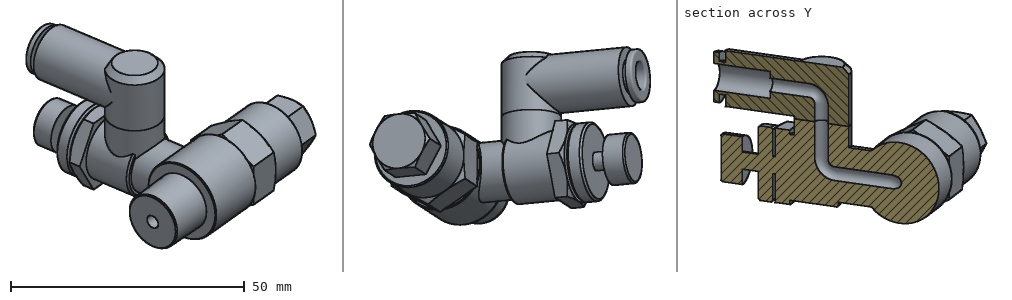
import cadquery as cq
import math


hex_flats = 16.95
cap_hex_flats = 12.0
hex_bevel_angle = 30.0

thread_end_y = -17.25
ring_half_length = 7.05
collar_end_y = 14.9
sleeve_end_y = 24.45
cap_end_y = 31.45
thread_base_radius = 6.7
thread_tip_radius = 6.5
thread_chamfer = 0.25
ring_radius = 9.2
ring_chamfer = 0.2
sleeve_radius = hex_flats / 2
sleeve_chamfer = 0.3

knob_start_x = -41.65
knob_end_x = -36.65
disc_start_x = -33.0
disc_end_x = -29.5
nut_start_x = -29.05
nut_end_x = -25.55
barrel_end_x = -14.2
knob_radius = 5.5
knob_chamfer = 0.35
needle_radius = 2.0
disc_radius = 8.55
disc_chamfer = 0.5
barrel_radius = 7.55
barrel_chamfer = 0.4
link_radius = 6.4

post_x = -18.2
post_radius = link_radius
seam_z = 11.2
post_top_z = 24.45
post_chamfer = 1.5
tube_radius = 6.35
tube_z = post_top_z - tube_radius
tube_start_x = -40.65

release_start_x = -43.45
release_end_x = -41.95
release_radius = 5.75
release_neck_radius = 3.8
release_fillet = 0.5

tube_bore_radius = 3.0
tube_bore_depth = 13.15
bore_mouth_fillet = 0.5
passage_radius = 1.5
passage_bend = 2 * passage_radius


def cylinder_x(start, end, radius, z=0):
    """Cylinder along X on the y = 0 plane."""
    return cq.Workplane("YZ", origin=(start, 0, z)).circle(radius).extrude(end - start)


def cylinder_y(start, end, radius):
    """Cylinder along the stem axis."""
    return cq.Workplane("XZ", origin=(0, end, 0)).circle(radius).extrude(end - start)


def bevelled_hex(flats, length):
    """Hexagon along Z with two corners on the X axis and its top corners bevelled by a cone."""
    corner_radius = flats / math.sqrt(3)
    bevel_drop = (corner_radius - flats / 2) * math.tan(math.radians(hex_bevel_angle))
    prism = cq.Workplane("XY").polygon(6, 2 * corner_radius).extrude(length)
    envelope = (
        cq.Workplane("XZ")
        .lineTo(corner_radius, 0)
        .lineTo(corner_radius, length - bevel_drop)
        .lineTo(flats / 2, length)
        .lineTo(0, length)
        .close()
        .revolve()
    )
    return prism.intersect(envelope)


def make_hex_y(flats, start, end, turn):
    """Hexagon on the stem axis, bevelled at its +Y end and turned about the axis."""
    hexagon = bevelled_hex(flats, end - start).rotate((0, 0, 0), (0, 0, 1), turn)
    return hexagon.rotate((0, 0, 0), (1, 0, 0), -90).translate((0, start, 0))


def make_stem():
    """Tapered thread, ring, hexagonal collar, sleeve and hexagonal cap in a row along Y."""
    thread = (
        cq.Workplane("XY")
        .moveTo(0, -ring_half_length)
        .lineTo(thread_base_radius, -ring_half_length)
        .lineTo(thread_tip_radius, thread_end_y + thread_chamfer)
        .lineTo(thread_tip_radius - thread_chamfer, thread_end_y)
        .lineTo(0, thread_end_y)
        .close()
        .revolve(360, (0, 0, 0), (0, 1, 0))
    )
    ring = cylinder_y(-ring_half_length, ring_half_length, ring_radius).edges().chamfer(ring_chamfer)
    collar = make_hex_y(hex_flats, ring_half_length, collar_end_y, 90)
    sleeve = cylinder_y(collar_end_y, sleeve_end_y, sleeve_radius).faces(">Y").chamfer(sleeve_chamfer)
    cap = make_hex_y(cap_hex_flats, sleeve_end_y, cap_end_y, 0)
    return thread.union(ring).union(collar).union(sleeve).union(cap)


def make_needle_valve():
    """Knob, needle, disc, lock nut, barrel and link in a row along X."""
    knob = cylinder_x(knob_start_x, knob_end_x, knob_radius).faces("<X").chamfer(knob_chamfer)
    needle = cylinder_x(knob_end_x, nut_start_x, needle_radius)
    disc = cylinder_x(disc_start_x, disc_end_x, disc_radius).edges().chamfer(disc_chamfer)
    nut = (
        bevelled_hex(hex_flats, nut_end_x - nut_start_x)
        .rotate((0, 0, 0), (0, 0, 1), 90)
        .rotate((0, 0, 0), (0, 1, 0), -90)
        .translate((nut_end_x, 0, 0))
    )
    barrel = cylinder_x(nut_end_x, barrel_end_x, barrel_radius).faces(">X").chamfer(barrel_chamfer)
    link = cylinder_x(barrel_end_x, 0, link_radius)
    return knob.union(needle).union(disc).union(nut).union(barrel).union(link)


def line(start, end):
    return cq.Edge.makeLine(cq.Vector(*start), cq.Vector(*end))


def arc(start, middle, end):
    return cq.Edge.makeThreePointArc(cq.Vector(*start), cq.Vector(*middle), cq.Vector(*end))


def make_passage():
    """Round air passage from the thread end, along the link, up the post and out into the tube bore."""
    bend = passage_bend
    inset = bend * (1 - math.sqrt(0.5))
    bore_end_x = release_start_x + tube_bore_depth

    stem_end = (0, -bend, 0)
    link_start = (-bend, 0, 0)
    link_end = (post_x + bend, 0, 0)
    post_start = (post_x, 0, bend)
    post_end = (post_x, 0, tube_z - bend)
    tube_start = (post_x - bend, 0, tube_z)
    path = cq.Wire.assembleEdges(
        [
            line((0, thread_end_y, 0), stem_end),
            arc(stem_end, (-inset, -inset, 0), link_start),
            line(link_start, link_end),
            arc(link_end, (post_x + inset, 0, inset), post_start),
            line(post_start, post_end),
            arc(post_end, (post_x - inset, 0, tube_z - inset), tube_start),
            line(tube_start, (bore_end_x, 0, tube_z)),
        ]
    )
    profile = cq.Workplane("XZ", origin=(0, thread_end_y, 0)).circle(passage_radius)
    return profile.sweep(cq.Workplane(path))


def make_valve_body(passage):
    """Stem, needle valve and the lower stub of the post as one body."""
    post_stub = cq.Workplane("XY", origin=(post_x, 0, 0)).circle(post_radius).extrude(seam_z)
    return make_stem().union(make_needle_valve()).union(post_stub).cut(passage)


def make_elbow(passage):
    """Upper post with the tube barrel and its release collar."""
    post = (
        cq.Workplane("XY", origin=(post_x, 0, seam_z))
        .circle(post_radius)
        .extrude(post_top_z - seam_z)
        .faces(">Z")
        .chamfer(post_chamfer)
    )
    tube = cylinder_x(tube_start_x, post_x, tube_radius, tube_z)
    release_neck = cylinder_x(release_end_x, tube_start_x, release_neck_radius, tube_z)
    release_collar = cylinder_x(release_start_x, release_end_x, release_radius, tube_z)
    release_collar = release_collar.faces("<X").edges().fillet(release_fillet)
    bore = cylinder_x(release_start_x, release_start_x + tube_bore_depth, tube_bore_radius, tube_z)
    elbow = post.union(tube).union(release_neck).union(release_collar).cut(bore)
    mouth_edge = cq.selectors.RadiusNthSelector(0)
    elbow = elbow.faces("<X").edges(mouth_edge).fillet(bore_mouth_fillet)
    return elbow.cut(passage)


passage = make_passage()
valve_body = make_valve_body(passage)
elbow = make_elbow(passage)

result = cq.Compound.makeCompound([valve_body.val(), elbow.val()])